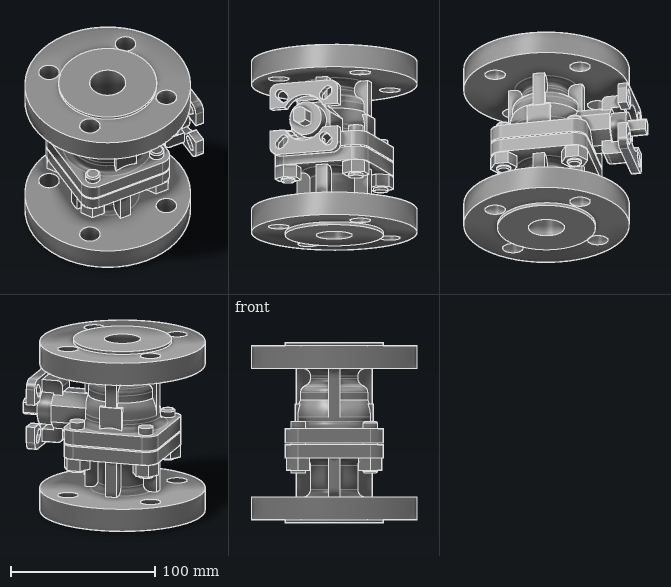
import cadquery as cq
import math


total_height = 125.0
total_depth = 128.5
half_height = total_height / 2
flange_diameter = 115.0
flange_radius = flange_diameter / 2
raised_face_radius = 34.0
raised_face_height = 2.0
flange_thickness = 15.9
flange_inner_z = half_height - raised_face_height - flange_thickness
bore_radius = 12.5
flange_hole_radius = 7.1
flange_hole_offset = 30.1

neck_radius = 17.0
blend_radius = 5.0
shoulder_start_z = 37.5
shoulder_angle = 60
shoulder_radius = 23.6
dome_radius = 26.5
dome_center_z = 10.8

plate_half_width = 34.0
plate_corner_radius = 9.0
upper_plate_top_z = 2.8
upper_plate_thickness = 10.0
plate_gap = 1.0
lower_plate_thickness = 9.4
upper_plate_bottom_z = upper_plate_top_z - upper_plate_thickness
lower_plate_top_z = upper_plate_bottom_z - plate_gap
lower_plate_bottom_z = lower_plate_top_z - lower_plate_thickness

bolt_radius = 5.0
bolt_offset = plate_half_width - plate_corner_radius
bolt_top_z = 7.8
bolt_bottom_z = -28.0
bolt_chamfer = 1.0
nut_across_flats = 16.0
nut_height = 8.5

rib_width = 8.1
rib_radius = 26.5
block_half_span = 27.1
block_width = 16.0
block_top_z = 19.8

stem_z = 8.5
housing_across_flats = 28.4
housing_end_y = 47.7
collar_radius = 11.6
collar_end_y = 58.6
stem_radius = 5.5
stem_half_flats = 4.2
stem_end_y = total_depth - flange_radius

pad_width = 50.1
pad_corner_radius = 6.0
pad_start_y = 55.9
pad_thickness = 6.2
pad_opening_radius = 16.2
pad_slit_height = 15.9
slot_circle_radius = 23.0
slot_radius = 3.3
slot_center_spacing = 4.0
arm_width = 16.2
arm_start_y = 41.1
arm_inner_offset = 13.2
arm_root_offset = 11.6
arm_outer_offset = 22.2
arm_corner_radius = 3.7


def along_z(bottom_z):
    return cq.Workplane("XY").workplane(offset=bottom_z)


def along_y(start_y):
    """Sketch plane facing +Y, centred on the stem axis."""
    return cq.Workplane("XZ", origin=(0, start_y, stem_z))


def extrude_y(sketch, length):
    """Extrude towards +Y; the sketch plane's own normal is -Y."""
    return sketch.extrude(-length)


def on_arc(center_r, center_z, radius, angle):
    """Point of an arc in the profile plane, at an angle in degrees from the outward direction."""
    turn = math.radians(angle)
    return (center_r + radius * math.cos(turn), center_z + radius * math.sin(turn))


def make_flange(direction):
    """Flange and raised face at the top (direction 1) or bottom (-1) end."""
    disc = along_z(direction * flange_inner_z).circle(flange_radius)
    flange = disc.extrude(direction * flange_thickness)
    face = along_z(direction * flange_inner_z).circle(raised_face_radius)
    flange = flange.union(face.extrude(direction * (half_height - flange_inner_z)))
    holes = (
        along_z(direction * flange_inner_z)
        .rect(2 * flange_hole_offset, 2 * flange_hole_offset, forConstruction=True)
        .vertices()
        .circle(flange_hole_radius)
        .extrude(direction * flange_thickness)
    )
    return flange.cut(holes)


def make_upper_body():
    """Revolved shell: base flare, spherical dome, 60 degree shoulder and neck."""
    flare_r = dome_radius + blend_radius
    flare_z = upper_plate_top_z + blend_radius
    dome_top_angle = math.degrees(math.acos(shoulder_radius / dome_radius))
    dome_mid = on_arc(0, dome_center_z, dome_radius, dome_top_angle / 2)
    dome_top = on_arc(0, dome_center_z, dome_radius, dome_top_angle)

    turn = math.radians(shoulder_angle)
    slope_width = shoulder_radius - neck_radius - 2 * blend_radius * (1 - math.cos(turn))
    slope_height = slope_width / math.tan(turn)
    lower_round_z = shoulder_start_z - 2 * blend_radius * math.sin(turn) - slope_height
    lower_round = (shoulder_radius - blend_radius, lower_round_z)
    upper_round = (neck_radius + blend_radius, shoulder_start_z)

    neck_flare_r = neck_radius + blend_radius
    neck_flare_z = flange_inner_z - blend_radius
    profile = (
        cq.Workplane("XZ")
        .moveTo(0, upper_plate_top_z)
        .lineTo(flare_r, upper_plate_top_z)
        .threePointArc(on_arc(flare_r, flare_z, blend_radius, 225), (dome_radius, flare_z))
        .lineTo(dome_radius, dome_center_z)
        .threePointArc(dome_mid, dome_top)
        .lineTo(shoulder_radius, lower_round_z)
        .threePointArc(
            on_arc(*lower_round, blend_radius, shoulder_angle / 2),
            on_arc(*lower_round, blend_radius, shoulder_angle),
        )
        .lineTo(*on_arc(*upper_round, blend_radius, 180 + shoulder_angle))
        .threePointArc(
            on_arc(*upper_round, blend_radius, 180 + shoulder_angle / 2),
            (neck_radius, shoulder_start_z),
        )
        .lineTo(neck_radius, neck_flare_z)
        .threePointArc(
            on_arc(neck_flare_r, neck_flare_z, blend_radius, 135),
            (neck_flare_r, flange_inner_z),
        )
        .lineTo(0, flange_inner_z)
        .close()
    )
    return profile.revolve(360, (0, 0), (0, 1))


def make_lower_body():
    """Revolved neck with a flare at both ends."""
    flare_r = neck_radius + blend_radius
    top_z = lower_plate_bottom_z
    bottom_z = -flange_inner_z
    top_flare_z = top_z - blend_radius
    bottom_flare_z = bottom_z + blend_radius
    profile = (
        cq.Workplane("XZ")
        .moveTo(0, bottom_z)
        .lineTo(flare_r, bottom_z)
        .threePointArc(
            on_arc(flare_r, bottom_flare_z, blend_radius, 225),
            (neck_radius, bottom_flare_z),
        )
        .lineTo(neck_radius, top_flare_z)
        .threePointArc(on_arc(flare_r, top_flare_z, blend_radius, 135), (flare_r, top_z))
        .lineTo(0, top_z)
        .close()
    )
    return profile.revolve(360, (0, 0), (0, 1))


def make_plates():
    """Two square plates with rounded corners, joined by the gasket disc."""
    plates = along_z(lower_plate_top_z).circle(dome_radius).extrude(plate_gap)
    for bottom_z, thickness in (
        (upper_plate_bottom_z, upper_plate_thickness),
        (lower_plate_bottom_z, lower_plate_thickness),
    ):
        plate = along_z(bottom_z).rect(2 * plate_half_width, 2 * plate_half_width).extrude(thickness)
        plates = plates.union(plate.edges("|Z").fillet(plate_corner_radius))
    return plates


def make_ribs(bottom_z, top_z):
    """Four ribs crossing on the flow axis, with rounded outer ends."""
    height = top_z - bottom_z
    untrimmed_length = 2 * plate_half_width
    cross = along_z(bottom_z).rect(untrimmed_length, rib_width).extrude(height)
    cross = cross.union(along_z(bottom_z).rect(rib_width, untrimmed_length).extrude(height))
    return cross.intersect(along_z(bottom_z).circle(rib_radius).extrude(height))


def make_bolt(side_x, side_y):
    """Bolt and nut at one plate corner; the bolts on the +X side have chamfered ends."""
    center = (side_x * bolt_offset, side_y * bolt_offset)
    bolt = along_z(bolt_bottom_z).center(*center).circle(bolt_radius)
    bolt = bolt.extrude(bolt_top_z - bolt_bottom_z)
    if side_x > 0:
        bolt = bolt.faces("<Z or >Z").chamfer(bolt_chamfer)
    nut_across_corners = nut_across_flats / math.cos(math.radians(30))
    nut = along_z(lower_plate_bottom_z - nut_height).polygon(6, nut_across_corners).extrude(nut_height)
    nut = nut.rotate((0, 0, 0), (0, 0, 1), 90).translate((*center, 0))
    return bolt.union(nut)


def make_side_blocks():
    """One bar across the body, showing as a square block on the -X and +X sides."""
    bar = along_z(upper_plate_top_z).rect(2 * block_half_span, block_width)
    return bar.extrude(block_top_z - upper_plate_top_z)


def make_stem():
    """Octagonal housing, round collar and a stem with two flats."""
    across_corners = housing_across_flats / math.cos(math.radians(22.5))
    octagon = along_y(0).transformed(rotate=(0, 0, 22.5)).polygon(8, across_corners)
    housing = extrude_y(octagon, housing_end_y)
    collar = extrude_y(along_y(0).circle(collar_radius), collar_end_y)
    stem = extrude_y(along_y(0).circle(stem_radius), stem_end_y)
    flats = extrude_y(along_y(0).rect(2 * stem_half_flats, 2 * stem_radius), stem_end_y)
    return housing.union(collar).union(stem.intersect(flats))


def make_pad():
    """Split mounting pad with diagonal corner slots, carried by an upper and a lower arm."""
    pad = extrude_y(along_y(pad_start_y).rect(pad_width, pad_width), pad_thickness)
    pad = pad.edges("|Y").fillet(pad_corner_radius)
    opening = extrude_y(along_y(pad_start_y).circle(pad_opening_radius), pad_thickness)
    slit = extrude_y(along_y(pad_start_y).rect(pad_width, pad_slit_height), pad_thickness)
    pad = pad.cut(opening).cut(slit)
    for angle in (45, 135, 225, 315):
        slot = (
            along_y(pad_start_y)
            .transformed(rotate=(0, 0, angle))
            .center(slot_circle_radius, 0)
            .slot2D(slot_center_spacing + 2 * slot_radius, 2 * slot_radius)
        )
        pad = pad.cut(extrude_y(slot, pad_thickness))

    arm_height = arm_outer_offset - arm_root_offset
    relief_height = arm_inner_offset - arm_root_offset
    for side, outer_face in ((1, ">Z"), (-1, "<Z")):
        arm_center = side * (arm_root_offset + arm_height / 2)
        section = along_y(arm_start_y).center(0, arm_center).rect(arm_width, arm_height)
        arm = extrude_y(section, pad_start_y - arm_start_y)
        arm = arm.faces(outer_face).edges("<Y").fillet(arm_corner_radius)
        relief_center = side * (arm_root_offset + relief_height / 2)
        relief = along_y(housing_end_y).center(0, relief_center).rect(arm_width, relief_height)
        arm = arm.cut(extrude_y(relief, pad_start_y - housing_end_y))
        pad = pad.union(arm)
    return pad


result = make_upper_body().union(make_lower_body()).union(make_plates())
result = result.union(make_flange(1)).union(make_flange(-1))
result = result.union(make_ribs(upper_plate_top_z, flange_inner_z))
result = result.union(make_ribs(-flange_inner_z, lower_plate_bottom_z))
result = result.union(make_side_blocks()).union(make_stem()).union(make_pad())
for side_x in (-1, 1):
    for side_y in (-1, 1):
        result = result.union(make_bolt(side_x, side_y))

result = result.cut(along_z(-half_height).circle(bore_radius).extrude(total_height))